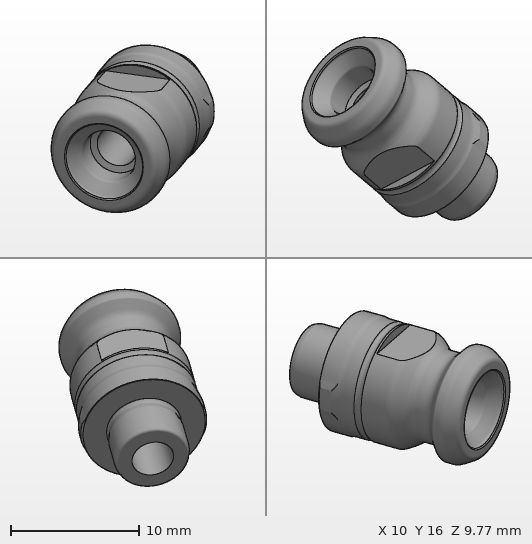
import cadquery as cq
import math


spigot_length = 3.8
spigot_radius = 3.0
spigot_taper = 15.0
lead_in_length = 0.55
tip_round = 0.2
undercut_radius = 2.84
undercut_start = 1.02
undercut_root_start = 0.3
undercut_root_round = 0.4

collar_radius = 4.885
tab_radius = 5.0
tab_length = 1.19
tab_edge_chamfer = 0.15
tab_taper = 16.0
tab_crown_half_height = 1.0
tab_root_half_height = 1.58

body_radius = 4.8
body_end = -6.28
body_flank_angle = 39.0
neck_radius = 3.74
head_flank_angle = 48.0
head_neck_round = 1.05
head_rim_start = -10.24
head_rim_end = -11.0
head_rim_round = 0.2
head_nose_angle = 30.0
head_nose_round = 0.5
head_end = -12.2
flank_round = 1.0

groove_start = -3.16
groove_width = 0.64
groove_depth = 0.15
flats_start = -3.99
flats_across = 8.0

bore_radius = 1.65
socket_radius = 2.17
socket_floor = -9.15
socket_floor_angle = 70.0
socket_mouth_radius = 3.15
socket_mouth_depth = 1.18
socket_mouth_step = 0.26
socket_round = 0.25
mouth_chamfer = 0.1

shortest_line = 1e-6


def taper_length(radius_change, angle):
    """Axial length of a taper inclined by angle to the axis."""
    return radius_change / math.tan(math.radians(angle))


def turned(corners):
    """Revolve an outline of (radius, y, corner round) about the Y axis; a zero round is sharp."""
    points = [cq.Vector(radius, y) for radius, y, _ in corners]
    profile = cq.Workplane("XY").moveTo(points[0].x, points[0].y)
    here = points[0]
    for i in range(1, len(points)):
        corner = points[i]
        corner_round = corners[i][2]
        target = corner
        arc_end = None
        if corner_round > 0:
            back = (points[i - 1] - corner).normalized()
            ahead = (points[i + 1] - corner).normalized()
            half_angle = back.getAngle(ahead) / 2
            setback = corner_round / math.tan(half_angle)
            center = corner + (back + ahead).normalized() * (corner_round / math.sin(half_angle))
            target = corner + back * setback
            arc_end = corner + ahead * setback
            arc_middle = center + (corner - center).normalized() * corner_round
        if (target - here).Length > shortest_line:
            profile = profile.lineTo(target.x, target.y)
        here = target
        if arc_end is not None:
            profile = profile.threePointArc((arc_middle.x, arc_middle.y), (arc_end.x, arc_end.y))
            here = arc_end
    return profile.close().revolve(360, (0, 0, 0), (0, 1, 0))


def outer_body():
    tip_radius = spigot_radius - lead_in_length * math.tan(math.radians(spigot_taper))
    undercut_end = undercut_start - taper_length(spigot_radius - undercut_radius, spigot_taper)

    root_turn = math.asin(undercut_root_start / undercut_root_round)
    root_corner = undercut_root_start - undercut_root_round * math.tan(root_turn / 2)
    root_radius = undercut_radius + undercut_root_round * (1 - math.cos(root_turn))

    tab_foot = -tab_length - taper_length(tab_radius - body_radius, tab_taper)
    neck_start = body_end - taper_length(body_radius - neck_radius, body_flank_angle)
    neck_end = head_rim_start + taper_length(body_radius - neck_radius, head_flank_angle)
    nose_radius = body_radius - (head_rim_end - head_end) * math.tan(math.radians(head_nose_angle))

    return turned([
        (0, spigot_length, 0),
        (tip_radius, spigot_length, tip_round),
        (spigot_radius, spigot_length - lead_in_length, 0),
        (spigot_radius, undercut_start, 0),
        (undercut_radius, undercut_end, 0),
        (undercut_radius, root_corner, undercut_root_round),
        (root_radius, 0, 0),
        (tab_radius - tab_edge_chamfer, 0, 0),
        (tab_radius, -tab_edge_chamfer, 0),
        (tab_radius, -tab_length, 0),
        (body_radius, tab_foot, flank_round),
        (body_radius, body_end, flank_round),
        (neck_radius, neck_start, flank_round),
        (neck_radius, neck_end, head_neck_round),
        (body_radius, head_rim_start, head_rim_round),
        (body_radius, head_rim_end, flank_round),
        (nose_radius, head_end, head_nose_round),
        (0, head_end, 0),
    ])


def collar_outline():
    """Prism along Y that leaves a round collar with a tab on each X side."""
    crown_x = math.sqrt(tab_radius**2 - tab_crown_half_height**2)
    root_x = math.sqrt(collar_radius**2 - tab_root_half_height**2)
    flank_slope = (crown_x - root_x) / (tab_root_half_height - tab_crown_half_height)
    peak_x = crown_x + tab_crown_half_height * flank_slope
    length = spigot_length - head_end
    start = cq.Workplane("XZ", origin=(0, spigot_length, 0))
    tabs = start.polyline([
        (peak_x, 0),
        (root_x, tab_root_half_height),
        (-root_x, tab_root_half_height),
        (-peak_x, 0),
        (-root_x, -tab_root_half_height),
        (root_x, -tab_root_half_height),
    ]).close().extrude(length)
    return start.circle(collar_radius).extrude(length).union(tabs)


def groove():
    outside = body_radius + groove_depth
    groove_end = groove_start - groove_width
    groove_middle = groove_start - groove_width / 2
    return (
        cq.Workplane("XY")
        .moveTo(outside, groove_start)
        .lineTo(body_radius, groove_start)
        .threePointArc((body_radius - groove_depth, groove_middle), (body_radius, groove_end))
        .lineTo(outside, groove_end)
        .close()
        .revolve(360, (0, 0, 0), (0, 1, 0))
    )


def wrench_flats():
    """Stock outside the two flats, from their step to the middle of the neck."""
    neck_middle = (body_end + head_rim_start) / 2
    length = flats_start - neck_middle
    stock_width = 2 * tab_radius
    stock = cq.Workplane("XY").box(stock_width, length, stock_width)
    core = cq.Workplane("XY").box(stock_width, length, flats_across)
    return stock.cut(core).translate((0, flats_start - length / 2, 0))


def bore():
    mouth_end = head_end + socket_mouth_depth
    floor_end = socket_floor + taper_length(socket_radius - bore_radius, socket_floor_angle)
    return turned([
        (0, spigot_length, 0),
        (bore_radius, spigot_length, 0),
        (bore_radius, floor_end, 0),
        (socket_radius, socket_floor, 0),
        (socket_radius, mouth_end, socket_round),
        (socket_mouth_radius, head_end + socket_mouth_step, socket_round),
        (socket_mouth_radius, head_end + mouth_chamfer, 0),
        (socket_mouth_radius + mouth_chamfer, head_end, 0),
        (0, head_end, 0),
    ])


result = outer_body().intersect(collar_outline()).cut(groove()).cut(wrench_flats()).cut(bore())